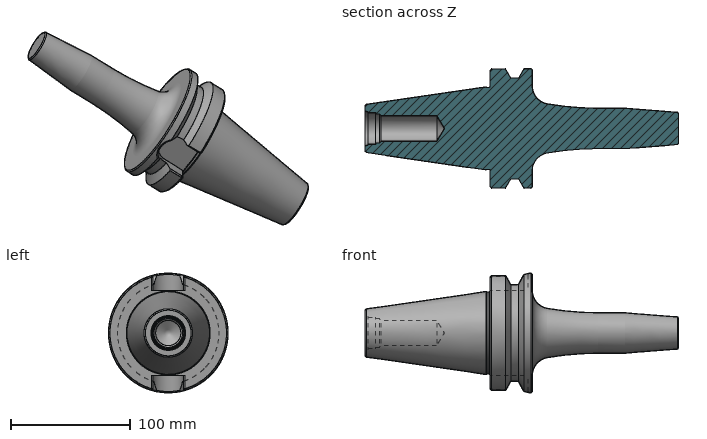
import math

import cadquery as cq

SHANK_LENGTH = 101.8
GAUGE_DIAMETER = 69.85
TAPER_RATIO = 7 / 24
SHANK_CHAMFER = 1.2

RELIEF_DIAMETER = 68.8
RELIEF_STEP_LENGTH = 0.6
RELIEF_FLARE = 0.6
FLANGE_START = 2.5

FLANGE_DIAMETER = 100.0
FLANGE_END = 38.0
FRONT_CHAMFER = 1.0
REAR_CHAMFER = 1.4
GROOVE_CENTRE = 23.2
GROOVE_DIAMETER = 84.6
GROOVE_FLOOR_WIDTH = 6.4
GROOVE_FLANK_ANGLE = 30.0
GROOVE_DEPTH = (FLANGE_DIAMETER - GROOVE_DIAMETER) / 2
GROOVE_HALF_MOUTH = GROOVE_FLOOR_WIDTH / 2 + GROOVE_DEPTH * math.tan(math.radians(GROOVE_FLANK_ANGLE))

SLOT_WIDTH = 25.7
SLOT_END = 34.4
SLOT_FLOOR_HEIGHT = 35.4
SLOT_CHAMFER = 1.2
EDGE_CLEARANCE = 0.1

NOSE_END = 160.0
NOSE_DIAMETER = 34.0
NOSE_TAPER_ANGLE = 4.5
NOSE_CYLINDER_START = 93.0
NOSE_TAPER_START = 115.4
NOSE_CHAMFER = 1.0
NECK_SWEEP_RADIUS = 250.0
NECK_FILLET_RADIUS = 15.0

MOUTH_DIAMETER = 29.0
MOUTH_SMALL_DIAMETER = 27.4
MOUTH_DEPTH = 2.5
PILOT_DIAMETER = 26.0
PILOT_DEPTH = 9.0
THREAD_DIAMETER = 24.0
THREAD_DEPTH = 12.0
CORE_DIAMETER = 21.0
CORE_DEPTH = 60.0
DRILL_POINT_ANGLE = 118.0


def arc_point(centre, radius, angle):
    """Point on a circle, the angle being in radians."""
    return (centre[0] + radius * math.cos(angle), centre[1] + radius * math.sin(angle))


def body():
    """Shank, flange and nose, turned around the X axis."""
    gauge_radius = GAUGE_DIAMETER / 2
    half_taper = TAPER_RATIO / 2
    small_radius = gauge_radius - SHANK_LENGTH * half_taper
    relief_radius = RELIEF_DIAMETER / 2

    rim_radius = FLANGE_DIAMETER / 2
    groove_radius = GROOVE_DIAMETER / 2
    half_floor = GROOVE_FLOOR_WIDTH / 2

    nose_radius = NOSE_DIAMETER / 2
    sweep_centre = (NOSE_CYLINDER_START, nose_radius + NECK_SWEEP_RADIUS)
    fillet_x = FLANGE_END + NECK_FILLET_RADIUS
    centre_distance = NECK_SWEEP_RADIUS - NECK_FILLET_RADIUS
    centre_run = sweep_centre[0] - fillet_x
    fillet_centre = (fillet_x, sweep_centre[1] - math.sqrt(centre_distance**2 - centre_run**2))
    down = -math.pi / 2
    join_angle = down - math.asin(centre_run / centre_distance)
    fillet_middle_angle = (join_angle - math.pi) / 2
    sweep_middle_angle = (join_angle + down) / 2

    nose_slope = math.tan(math.radians(NOSE_TAPER_ANGLE))
    chamfer_start = NOSE_END - NOSE_CHAMFER
    chamfer_radius = nose_radius - (chamfer_start - NOSE_TAPER_START) * nose_slope

    profile = (
        cq.Workplane("XY")
        .moveTo(-SHANK_LENGTH, 0)
        .lineTo(-SHANK_LENGTH, small_radius - SHANK_CHAMFER * (1 - half_taper))
        .lineTo(-SHANK_LENGTH + SHANK_CHAMFER, small_radius + SHANK_CHAMFER * half_taper)
        .lineTo(-RELIEF_STEP_LENGTH, gauge_radius - RELIEF_STEP_LENGTH * half_taper)
        .lineTo(0, relief_radius)
        .lineTo(FLANGE_START - RELIEF_FLARE, relief_radius)
        .lineTo(FLANGE_START, relief_radius + RELIEF_FLARE)
        .lineTo(FLANGE_START, rim_radius - REAR_CHAMFER)
        .lineTo(FLANGE_START + REAR_CHAMFER, rim_radius)
        .lineTo(GROOVE_CENTRE - GROOVE_HALF_MOUTH, rim_radius)
        .lineTo(GROOVE_CENTRE - half_floor, groove_radius)
        .lineTo(GROOVE_CENTRE + half_floor, groove_radius)
        .lineTo(GROOVE_CENTRE + GROOVE_HALF_MOUTH, rim_radius)
        .lineTo(FLANGE_END - FRONT_CHAMFER, rim_radius)
        .lineTo(FLANGE_END, rim_radius - FRONT_CHAMFER)
        .lineTo(FLANGE_END, fillet_centre[1])
        .threePointArc(
            arc_point(fillet_centre, NECK_FILLET_RADIUS, fillet_middle_angle),
            arc_point(fillet_centre, NECK_FILLET_RADIUS, join_angle),
        )
        .threePointArc(
            arc_point(sweep_centre, NECK_SWEEP_RADIUS, sweep_middle_angle),
            (NOSE_CYLINDER_START, nose_radius),
        )
        .lineTo(NOSE_TAPER_START, nose_radius)
        .lineTo(chamfer_start, chamfer_radius)
        .lineTo(NOSE_END, chamfer_radius - NOSE_CHAMFER)
        .lineTo(NOSE_END, 0)
        .close()
    )
    return profile.revolve(360, (0, 0, 0), (1, 0, 0))


def drive_slot():
    """Round-ended cutter for the upper drive slot, open toward the shank."""
    half_width = SLOT_WIDTH / 2
    round_centre = SLOT_END - half_width
    return (
        cq.Workplane("XY", origin=(0, 0, SLOT_FLOOR_HEIGHT))
        .moveTo(0, -half_width)
        .lineTo(round_centre, -half_width)
        .threePointArc((SLOT_END, 0), (round_centre, half_width))
        .lineTo(0, half_width)
        .close()
        .extrude(FLANGE_DIAMETER / 2)
    )


def drawbar_bore():
    """Stepped blind bore with a drill point, entering the small end of the shank."""
    pilot_radius = PILOT_DIAMETER / 2
    thread_radius = THREAD_DIAMETER / 2
    core_radius = CORE_DIAMETER / 2
    thread_runout = thread_radius - core_radius
    point_depth = core_radius / math.tan(math.radians(DRILL_POINT_ANGLE / 2))
    profile = (
        cq.Workplane("XY", origin=(-SHANK_LENGTH, 0, 0))
        .lineTo(0, MOUTH_DIAMETER / 2)
        .lineTo(MOUTH_DEPTH, MOUTH_SMALL_DIAMETER / 2)
        .lineTo(MOUTH_DEPTH, pilot_radius)
        .lineTo(PILOT_DEPTH, pilot_radius)
        .lineTo(PILOT_DEPTH, thread_radius)
        .lineTo(THREAD_DEPTH, thread_radius)
        .lineTo(THREAD_DEPTH + thread_runout, core_radius)
        .lineTo(CORE_DEPTH, core_radius)
        .lineTo(CORE_DEPTH + point_depth, 0)
        .close()
    )
    return profile.revolve(360, (0, 0, 0), (1, 0, 0))


def break_slot_edges(part, side):
    """Chamfer one slot where it meets the rear face and the rims; side is +1 above, -1 below."""
    half_width = SLOT_WIDTH / 2
    rim_radius = FLANGE_DIAMETER / 2
    low = side * (SLOT_FLOOR_HEIGHT + EDGE_CLEARANCE)
    high = side * (rim_radius + EDGE_CLEARANCE)
    rear = FLANGE_START - EDGE_CLEARANCE
    wall_edges = [
        cq.selectors.BoxSelector(
            (rear, wall - EDGE_CLEARANCE, low),
            (GROOVE_CENTRE - GROOVE_HALF_MOUTH, wall + EDGE_CLEARANCE, high),
        )
        for wall in (-half_width, half_width)
    ]
    round_end_edge = cq.selectors.BoxSelector(
        (GROOVE_CENTRE + GROOVE_HALF_MOUTH, -half_width, low),
        (FLANGE_END - FRONT_CHAMFER - EDGE_CLEARANCE, half_width, high),
    )
    selector = wall_edges[0] + wall_edges[1] + round_end_edge
    return part.edges(selector).chamfer(SLOT_CHAMFER)


upper_slot = drive_slot()
lower_slot = upper_slot.rotate((0, 0, 0), (1, 0, 0), 180)

result = body().cut(drawbar_bore()).cut(upper_slot).cut(lower_slot)
for side in (1, -1):
    result = break_slot_edges(result, side)